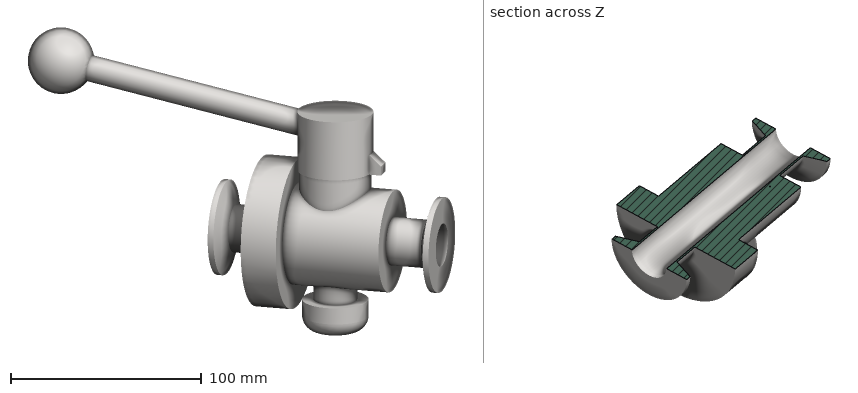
import cadquery as cq
import math


bore_diameter = 23.0
tube_diameter = 25.5
ferrule_diameter = 50.5
ferrule_rim = 3.2
ferrule_length = 7.7
inlet_x = -62.5
outlet_x = 58.2

body_diameter = 54.0
body_end_x = 31.3
flange_diameter = 80.0
flange_start_x = -40.1
flange_end_x = -21.0

stem_diameter = 38.0
head_diameter = 40.0
head_bottom_z = 36.5
head_top_z = 68.3

lug_reach = 26.1
lug_width = 8.1
lug_outer_height = 5.0
lug_inner_height = 10.5

neck_diameter = 23.0
knob_diameter = 35.0
knob_top_z = -34.3
knob_bottom_z = -51.2
knob_rounding = 8.1

overall_length = 225.5
overall_height = 152.4
ball_diameter = 35.0
rod_diameter = 14.0
rod_angle = 10.0
ball_x = outlet_x - overall_length + ball_diameter / 2
ball_z = knob_bottom_z + overall_height - ball_diameter / 2


def cylinder_x(diameter, start, end):
    """Cylinder on the bore axis."""
    return cq.Workplane("YZ").workplane(offset=start).circle(diameter / 2).extrude(end - start)


def cylinder_z(diameter, bottom, top):
    """Cylinder on the stem axis."""
    return cq.Workplane("XY").workplane(offset=bottom).circle(diameter / 2).extrude(top - bottom)


def ferrule(face_x, inward):
    """Clamp ferrule whose taper points along inward (+1 or -1 in X)."""
    rim_x = face_x + inward * ferrule_rim
    neck_x = face_x + inward * ferrule_length
    profile = [
        (face_x, 0),
        (face_x, ferrule_diameter / 2),
        (rim_x, ferrule_diameter / 2),
        (neck_x, tube_diameter / 2),
        (neck_x, 0),
    ]
    return cq.Workplane("XZ").polyline(profile).close().revolve(360, (0, 0, 0), (1, 0, 0))


def flow_line():
    """Body, flange and the two tube ends with their ferrules."""
    line = cylinder_x(tube_diameter, inlet_x, outlet_x)
    line = line.union(cylinder_x(flange_diameter, flange_start_x, flange_end_x))
    line = line.union(cylinder_x(body_diameter, flange_end_x, body_end_x))
    return line.union(ferrule(inlet_x, 1)).union(ferrule(outlet_x, -1))


def pointer_lug():
    """Lug with a sloped top, rooted inside the head."""
    head_radius = head_diameter / 2
    profile = [
        (0, head_bottom_z),
        (lug_reach, head_bottom_z),
        (lug_reach, head_bottom_z + lug_outer_height),
        (head_radius, head_bottom_z + lug_inner_height),
        (0, head_bottom_z + lug_inner_height),
    ]
    return cq.Workplane("XZ").polyline(profile).close().extrude(lug_width / 2, both=True)


def stem_and_head():
    stem = cylinder_z(stem_diameter, 0, head_bottom_z)
    head = cylinder_z(head_diameter, head_bottom_z, head_top_z)
    return stem.union(head).union(pointer_lug())


def bottom_knob():
    knob = cylinder_z(knob_diameter, knob_bottom_z, knob_top_z)
    knob = knob.faces("<Z").edges().fillet(knob_rounding)
    return knob.union(cylinder_z(neck_diameter, knob_top_z, 0))


def handle():
    """Ball and the sloping rod that joins it to the stem axis."""
    slope = math.radians(rod_angle)
    direction = cq.Vector(math.cos(slope), 0, -math.sin(slope))
    center = cq.Vector(ball_x, 0, ball_z)
    rod_length = -ball_x / math.cos(slope)
    rod = cq.Solid.makeCylinder(rod_diameter / 2, rod_length, center, direction)
    ball = cq.Workplane("XY").sphere(ball_diameter / 2).translate(center)
    return ball.union(cq.Workplane(obj=rod))


valve = flow_line().union(stem_and_head()).union(bottom_knob()).union(handle())
result = valve.cut(cylinder_x(bore_diameter, inlet_x, outlet_x))